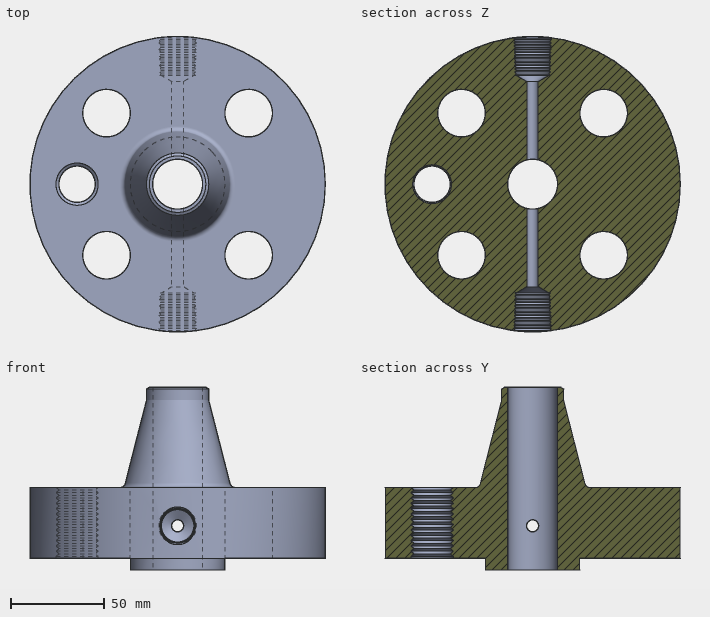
import cadquery as cq
import math

FLANGE_DIAMETER = 158.8
FLANGE_THICKNESS = 38.1
FACE_DIAMETER = 50.8
FACE_HEIGHT = 6.4
FLANGE_TOP = FACE_HEIGHT + FLANGE_THICKNESS

TOTAL_HEIGHT = 98.3
HUB_BASE_DIAMETER = 57.5
HUB_FILLET = 2.9
WELD_END_DIAMETER = 33.5
WELD_END_LENGTH = 7.0
BEVEL_WIDTH = 1.6
BEVEL_HEIGHT = 1.0
BORE_DIAMETER = 26.7

BOLT_COUNT = 4
FIRST_BOLT_ANGLE = 180 / BOLT_COUNT
BOLT_CIRCLE_DIAMETER = 108.0
BOLT_HOLE_DIAMETER = 25.4

JACK_MINOR_DIAMETER = 19.4
JACK_MAJOR_DIAMETER = 22.7
JACK_PITCH = 2.9

TAP_HEIGHT = 23.8
TAP_MINOR_DIAMETER = 18.7
TAP_MAJOR_DIAMETER = 20.3
TAP_PITCH = 1.7
TAP_RINGS = 12
TAP_TAPER = 1 / 32
TAP_POINT_ANGLE = 118.0
TAP_DRILL_DIAMETER = 6.4


def revolve_about_axis(profile):
    """Close a half section and revolve it into a solid around the Z axis."""
    return profile.close().revolve(360, (0, 0, 0), (0, 1, 0))


def make_body():
    """Flange, raised face and hub revolved as one profile, with the fillet at the hub base."""
    weld_radius = WELD_END_DIAMETER / 2
    profile = (
        cq.Workplane("XZ")
        .moveTo(0, 0)
        .lineTo(FACE_DIAMETER / 2, 0)
        .lineTo(FACE_DIAMETER / 2, FACE_HEIGHT)
        .lineTo(FLANGE_DIAMETER / 2, FACE_HEIGHT)
        .lineTo(FLANGE_DIAMETER / 2, FLANGE_TOP)
        .lineTo(HUB_BASE_DIAMETER / 2, FLANGE_TOP)
        .lineTo(weld_radius, TOTAL_HEIGHT - WELD_END_LENGTH)
        .lineTo(weld_radius, TOTAL_HEIGHT - BEVEL_HEIGHT)
        .lineTo(weld_radius - BEVEL_WIDTH, TOTAL_HEIGHT)
        .lineTo(0, TOTAL_HEIGHT)
    )
    body = revolve_about_axis(profile)
    hub_base = cq.selectors.RadiusNthSelector(-2)
    return body.edges(hub_base).fillet(HUB_FILLET)


def threaded_profile(minor_radius, major_radius, pitch, count, taper=0.0):
    """Half section of a threaded hole from its mouth at the origin along local Y, left open at the end.

    The thread is a stack of sharp ring grooves, and the radii shrink by taper per unit of depth.
    """
    profile = cq.Workplane("XZ").moveTo(0, 0).lineTo(major_radius, 0)
    for ring in range(count):
        crest_depth = (ring + 0.5) * pitch
        root_depth = (ring + 1) * pitch
        profile = profile.lineTo(minor_radius - taper * crest_depth, crest_depth)
        profile = profile.lineTo(major_radius - taper * root_depth, root_depth)
    return profile


def make_bolt_holes():
    return (
        cq.Workplane("XY")
        .polarArray(BOLT_CIRCLE_DIAMETER / 2, FIRST_BOLT_ANGLE, 360, BOLT_COUNT)
        .circle(BOLT_HOLE_DIAMETER / 2)
        .extrude(TOTAL_HEIGHT)
    )


def make_jack_hole():
    """Threaded hole through the flange, with its mouth on top and a short plain run-out below."""
    major_radius = JACK_MAJOR_DIAMETER / 2
    full_rings = math.floor(FLANGE_THICKNESS / JACK_PITCH)
    profile = (
        threaded_profile(JACK_MINOR_DIAMETER / 2, major_radius, JACK_PITCH, full_rings)
        .lineTo(major_radius, FLANGE_THICKNESS)
        .lineTo(0, FLANGE_THICKNESS)
    )
    hole = revolve_about_axis(profile).rotate((0, 0, 0), (1, 0, 0), 180)
    return hole.translate((-BOLT_CIRCLE_DIAMETER / 2, 0, FLANGE_TOP))


def make_pipe_tap():
    """Tapered threaded hole in the -Y rim, with a conical bottom and a small drill into the bore."""
    rim_radius = FLANGE_DIAMETER / 2
    drill_radius = TAP_DRILL_DIAMETER / 2
    thread_depth = TAP_RINGS * TAP_PITCH
    bottom_radius = TAP_MINOR_DIAMETER / 2 - TAP_TAPER * thread_depth
    cone_depth = (bottom_radius - drill_radius) / math.tan(math.radians(TAP_POINT_ANGLE / 2))
    profile = (
        threaded_profile(TAP_MINOR_DIAMETER / 2, TAP_MAJOR_DIAMETER / 2, TAP_PITCH, TAP_RINGS, TAP_TAPER)
        .lineTo(bottom_radius, thread_depth)
        .lineTo(drill_radius, thread_depth + cone_depth)
        .lineTo(drill_radius, rim_radius)
        .lineTo(0, rim_radius)
    )
    hole = revolve_about_axis(profile)
    return hole.rotate((0, 0, 0), (1, 0, 0), -90).translate((0, -rim_radius, TAP_HEIGHT))


bore = cq.Workplane("XY").circle(BORE_DIAMETER / 2).extrude(TOTAL_HEIGHT)
result = make_body().cut(bore).cut(make_bolt_holes()).cut(make_jack_hole())

pipe_tap = make_pipe_tap()
for turn in (0, 180):
    result = result.cut(pipe_tap.rotate((0, 0, 0), (0, 0, 1), turn))